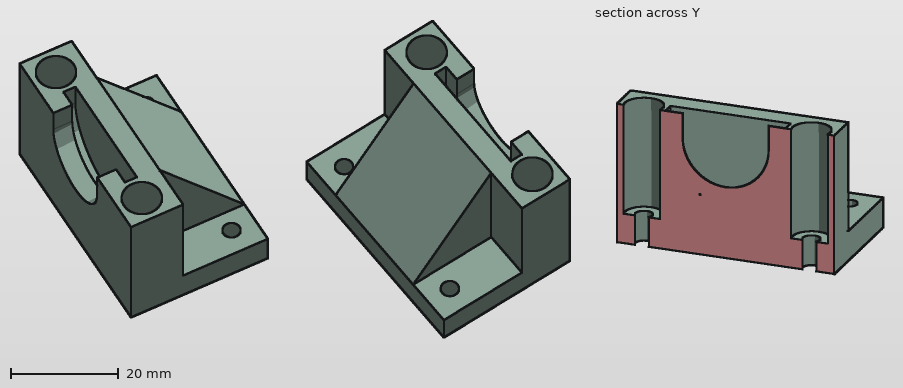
import cadquery as cq

length = 43.35
depth = 28.9
height = 27.8

block_depth = 11.0
base_height = 6.0

rib_left = 9.7
rib_width = 24.5

seat_axis_drop = 5.0
opening_width = 17.1
groove_width = 23.95
groove_front = 4.0
groove_thickness = 2.5

hole_diameter = 3.4
counterbore_diameter = 7.5
hole_inset = 5.0


def box(x_size, y_size, z_size):
    """Box with its lower front left corner at the origin."""
    return cq.Workplane("XY").box(x_size, y_size, z_size, centered=False)


def u_cut(width, y_start, thickness):
    """Round-bottomed slot, centred along X and running out of the top face."""
    radius = width / 2
    left = length / 2 - radius
    right = length / 2 + radius
    axis_z = height - seat_axis_drop
    return (
        cq.Workplane("XZ", origin=(0, y_start, 0))
        .moveTo(left, height)
        .lineTo(left, axis_z)
        .threePointArc((length / 2, axis_z - radius), (right, axis_z))
        .lineTo(right, height)
        .close()
        .extrude(-thickness)
    )


def vertical_hole(x, y, diameter, bottom_z):
    """Cylinder from the given level up to the top of the part."""
    return (
        cq.Workplane("XY", origin=(x, y, bottom_z))
        .circle(diameter / 2)
        .extrude(height - bottom_z)
    )


body = box(length, depth, base_height).union(box(length, block_depth, height))
rib = (
    cq.Workplane("YZ", origin=(rib_left, 0, 0))
    .polyline([(0, 0), (depth, 0), (depth, base_height), (block_depth, height), (0, height)])
    .close()
    .extrude(rib_width)
)
body = body.union(rib)

body = body.cut(u_cut(opening_width, 0, groove_front))
body = body.cut(u_cut(groove_width, groove_front, groove_thickness))

for hole_x in (hole_inset, length - hole_inset):
    for hole_y in (hole_inset, depth - hole_inset):
        body = body.cut(vertical_hole(hole_x, hole_y, hole_diameter, 0))
    body = body.cut(vertical_hole(hole_x, hole_inset, counterbore_diameter, base_height))

result = body